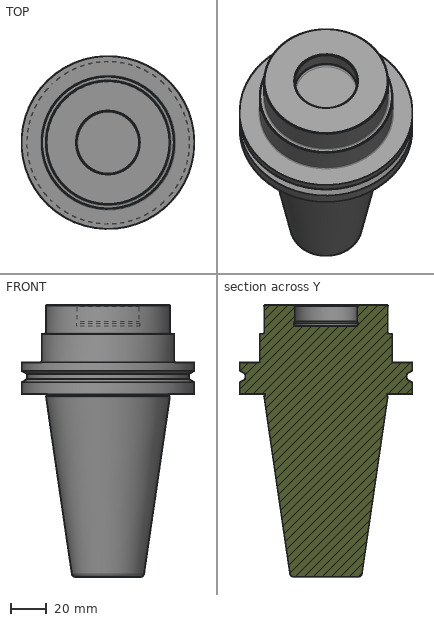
import cadquery as cq
import math


gauge_height = 101.5
gauge_radius = 35.0
taper_slope = 7 / 48
shank_end_radius = gauge_radius - gauge_height * taper_slope
shank_end_fillet = 2.3

neck_radius = 34.3
land_height = 0.3
neck_bevel_height = 0.6

flange_radius = 48.7
flange_bottom = 103.0
flange_top = 120.9
groove_middle = 113.0
groove_floor_radius = 45.7
groove_floor_width = 2.9
groove_wall_angle = 30
groove_flare = (flange_radius - groove_floor_radius) * math.tan(math.radians(groove_wall_angle))
groove_mouth_width = groove_floor_width + 2 * groove_flare
groove_fillet = 0.5

total_height = 153.2
lower_collar_radius = 75.0 / 2
lower_collar_top = 137.2
upper_collar_radius = 70.0 / 2
collar_chamfer = 0.5
collar_fillet = 0.5

bore_radius = 17.5
bore_straight_depth = 9.2
bore_depth = 11.8
bore_chamfer = 0.6
undercut_radius = 18.0
undercut_flare_height = 1.0
undercut_fillet = 0.8


def cylinder(radius, bottom, top):
    return cq.Workplane("XY").workplane(offset=bottom).circle(radius).extrude(top - bottom)


def revolve_outline(outline):
    """Turn a closed outline of (radius, height) points about the Z axis."""
    return cq.Workplane("XZ").polyline(outline).close().revolve(360, (0, 0, 0), (0, 1, 0))


def make_shank():
    land_top = gauge_height + land_height
    outline = [
        (0, 0),
        (shank_end_radius, 0),
        (gauge_radius, gauge_height),
        (gauge_radius, land_top),
        (neck_radius, land_top + neck_bevel_height),
        (neck_radius, flange_bottom),
        (0, flange_bottom),
    ]
    shank = revolve_outline(outline)
    return shank.faces("<Z").edges().fillet(shank_end_fillet)


def make_groove_cutter():
    half_floor = groove_floor_width / 2
    half_mouth = groove_mouth_width / 2
    outline = [
        (groove_floor_radius, groove_middle - half_floor),
        (flange_radius, groove_middle - half_mouth),
        (flange_radius, groove_middle + half_mouth),
        (groove_floor_radius, groove_middle + half_floor),
    ]
    cutter = revolve_outline(outline)
    return cutter.edges(cq.selectors.RadiusNthSelector(0)).fillet(groove_fillet)


def make_fillet_ring(radius, height):
    """Ring that rounds the inside corner between a cylinder and the shoulder below it."""
    return (
        cq.Workplane("XZ")
        .moveTo(radius, height)
        .lineTo(radius + collar_fillet, height)
        .radiusArc((radius, height + collar_fillet), collar_fillet)
        .close()
        .revolve(360, (0, 0, 0), (0, 1, 0))
    )


def make_collar_step(radius, bottom, top):
    step = cylinder(radius, bottom, top).faces(">Z").edges().chamfer(collar_chamfer)
    return step.union(make_fillet_ring(radius, bottom))


def make_bore_cutter():
    floor = total_height - bore_depth
    flare_top = total_height - bore_straight_depth
    outline = [
        (0, floor),
        (undercut_radius, floor),
        (undercut_radius, flare_top - undercut_flare_height),
        (bore_radius, flare_top),
        (bore_radius, total_height - bore_chamfer),
        (bore_radius + bore_chamfer, total_height),
        (0, total_height),
    ]
    cutter = revolve_outline(outline)
    return cutter.faces("<Z").edges().fillet(undercut_fillet)


flange = cylinder(flange_radius, flange_bottom, flange_top).cut(make_groove_cutter())
lower_collar = make_collar_step(lower_collar_radius, flange_top, lower_collar_top)
upper_collar = make_collar_step(upper_collar_radius, lower_collar_top, total_height)

result = (
    make_shank()
    .union(flange)
    .union(lower_collar)
    .union(upper_collar)
    .cut(make_bore_cutter())
)